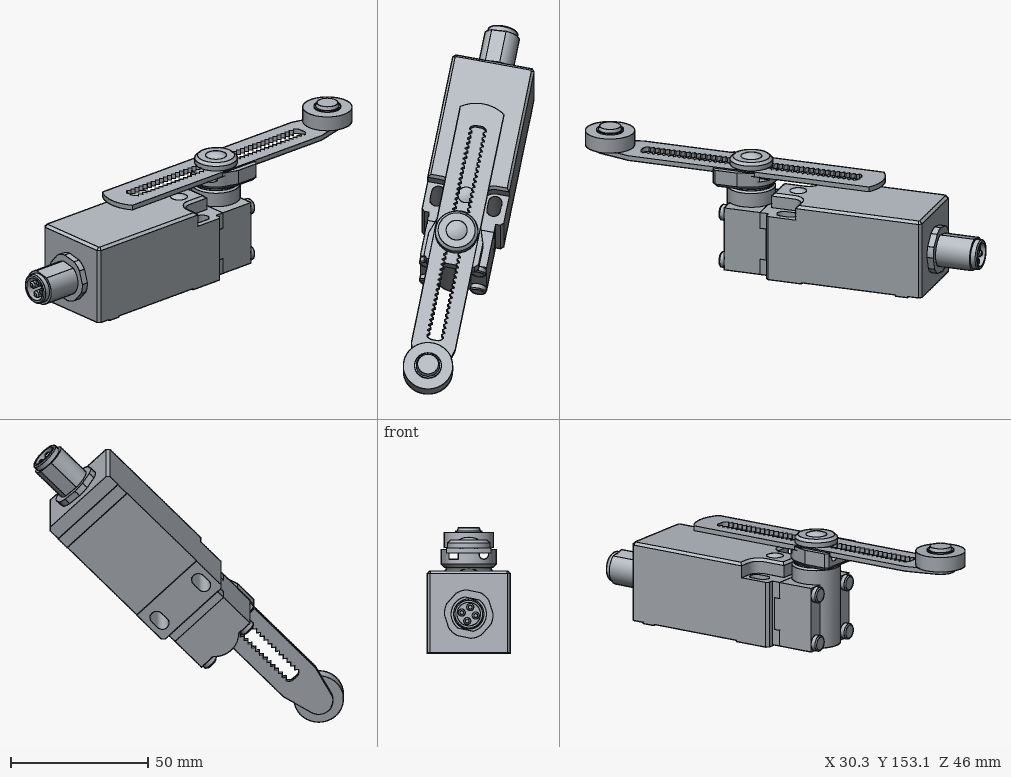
import cadquery as cq
import math


housing_width = 30.3
housing_front = -71.3
housing_back = -11.0
housing_top = 30.2
foot_height = 0.5
foot_spans = [(-25.0, housing_back), (-66.1, -61.4)]
edge_chamfer = 1.0

shelf_height = 24.6
shelf_front = -22.7
tab_width = 12.2
tab_back = -10.1
tab_corner_radius = 4.1
mount_slot_offset = 10.5
mount_slot_y = -17.8
mount_slot_length = 7.8
mount_slot_width = 4.9
lamp_y = -18.2
lamp_radius = 3.0
lamp_height = 0.8

head_width = 24.6
head_front = -7.8
tongue_bottom = 6.5
tongue_top = 18.5

head_back = 6.1
turret_radius = 8.9
turret_chamfer = 0.8
turret_top = 30.8
screw_radius = 2.9
screw_head_height = 2.1
screw_chamfer = 0.5

neck_radius = 8.3
clamp_bottom = 31.4
clamp_top = 38.0
clamp_half_width = 10.1
clamp_back = 11.6
clamp_front = -9.3
clamp_side_end = 1.8
clamp_nose_half_width = 8.7
clamp_nose_start = -2.3
clamp_chamfer = 1.2
groove_depth = 2.1
groove_width = 3.2
groove_offset = 5.5
nut_radius = 7.8
nut_height = 2.9
nut_chamfer = 1.0
nut_dome_radius = 3.8
nut_dome_height = 1.0
stud_radius = 2.0

arm_bottom = 36.6
arm_thickness = 1.8
arm_half_width = 8.1
arm_nose_y = -51.1
arm_side_front = -48.5
arm_taper_start = 44.7
arm_end_radius = 5.2
rack_half_length = 42.4
rack_half_width = 3.2
rack_corner_radius = 2.3
tooth_height = 1.15
teeth_each_way = 20
tooth_pitch = 40.0 / teeth_each_way

roller_y = 54.8
roller_radius = 9.0
roller_height = 5.5
roller_gap = 0.23
rivet_radius = 4.9
rivet_top_radius = 3.8
rivet_collar_height = 0.5
rivet_cone_radius = 4.3
total_height = 46.0

connector_z = 14.4
connector_turn = 78
flange_radius = 8.9
flange_across_flats = 17.0
flange_thickness = 2.5
barrel_radius = 6.5
barrel_across_flats = 11.6
barrel_end = -87.0
connector_end = -89.3
tip_radius = 5.5
tip_chamfer = 0.5
socket_radius = 4.3
socket_depth = 7.7
contact_count = 4
contact_radius = 1.3
contact_circle_radius = 2.6
contact_recess = 0.8
contact_chamfer = 0.6

arm_top = arm_bottom + arm_thickness


def block(x_min, x_max, y_min, y_max, z_min, z_max):
    size = (x_max - x_min, y_max - y_min, z_max - z_min)
    return cq.Workplane("XY").box(*size, centered=False).translate((x_min, y_min, z_min))


def disc(radius, y, z_min, z_max):
    return cq.Workplane("XY", origin=(0, y, z_min)).circle(radius).extrude(z_max - z_min)


def dome(base_radius, height, y, z):
    """Spherical cap standing on the level z."""
    sphere_radius = (base_radius**2 + height**2) / (2 * height)
    half_angle = math.asin(base_radius / sphere_radius) / 2
    middle_x = sphere_radius * math.sin(half_angle)
    middle_z = height - sphere_radius * (1 - math.cos(half_angle))
    cap = (
        cq.Workplane("XZ")
        .lineTo(base_radius, 0)
        .threePointArc((middle_x, middle_z), (0, height))
        .close()
        .revolve(360, (0, 0, 0), (0, 1, 0))
    )
    return cap.translate((0, y, z))


def tongue():
    """Block of the head that enters the joint strip of the housing."""
    half = head_width / 2
    return block(-half, half, tab_back, head_front, tongue_bottom, tongue_top)


def housing_base():
    half = housing_width / 2
    base = block(-half, half, housing_front, housing_back, foot_height, shelf_height)
    for y_min, y_max in foot_spans:
        base = base.union(block(-half, half, y_min, y_max, 0, foot_height))
    return base.edges("|Z and (<X or >X) and (<Y or >Y)").chamfer(edge_chamfer)


def housing_upper():
    """Raised part: full width in front, narrowing to the tab between the mounting slots."""
    half = housing_width / 2
    tab_half = tab_width / 2
    main = block(-half, half, housing_front, shelf_front, shelf_height, housing_top)
    main = main.edges("|Z and <Y").chamfer(edge_chamfer)
    tab = block(-tab_half, tab_half, shelf_front, tab_back, shelf_height, housing_top)
    upper = main.union(tab)
    inner_corners = cq.selectors.BoxSelector(
        (-tab_width, shelf_front - edge_chamfer, 0),
        (tab_width, shelf_front + edge_chamfer, housing_top),
    )
    upper = upper.edges("|Z").edges(inner_corners).fillet(tab_corner_radius)
    return upper.faces(">Z").edges().chamfer(edge_chamfer)


def make_housing():
    half = head_width / 2
    strip = block(-half, half, housing_back, head_front, foot_height, shelf_height)
    housing = housing_base().union(housing_upper()).union(strip.cut(tongue()))
    slots = (
        cq.Workplane("XY")
        .pushPoints([(-mount_slot_offset, mount_slot_y), (mount_slot_offset, mount_slot_y)])
        .slot2D(mount_slot_length, mount_slot_width, 90)
        .extrude(housing_top)
    )
    return housing.cut(slots).union(dome(lamp_radius, lamp_height, lamp_y, housing_top))


def make_head():
    half = head_width / 2
    turret = disc(turret_radius, 0, foot_height, turret_top).faces(">Z").chamfer(turret_chamfer)
    turret_front = block(-half, half, -turret_radius, head_front, foot_height, shelf_height)
    head = block(-half, half, head_front, head_back, foot_height, shelf_height)
    head = head.union(turret.cut(turret_front)).union(tongue())
    screw_x = half - screw_radius
    screw_points = [
        (x, z)
        for x in (-screw_x, screw_x)
        for z in (foot_height + screw_radius, shelf_height - screw_radius)
    ]
    screws = (
        cq.Workplane("XZ", origin=(0, head_back, 0))
        .pushPoints(screw_points)
        .circle(screw_radius)
        .extrude(-screw_head_height)
        .faces(">Y")
        .chamfer(screw_chamfer)
    )
    return head.union(screws)


def clamp_block():
    nose = clamp_nose_half_width
    block_body = (
        cq.Workplane("XY", origin=(0, 0, clamp_bottom))
        .moveTo(-clamp_half_width, clamp_back)
        .lineTo(-clamp_half_width, clamp_side_end)
        .lineTo(-nose, clamp_nose_start)
        .threePointArc((0, clamp_front), (nose, clamp_nose_start))
        .lineTo(clamp_half_width, clamp_side_end)
        .lineTo(clamp_half_width, clamp_back)
        .close()
        .extrude(clamp_top - clamp_bottom)
    )
    block_body = block_body.edges("|Z and >Y").chamfer(clamp_chamfer)
    return block_body.faces("<Z").chamfer(clamp_chamfer)


def clamp_grooves():
    """Channel for the arm, with a square and a round-bottomed groove in its floor."""
    channel = block(
        -arm_half_width, arm_half_width, clamp_front, clamp_back, arm_bottom, arm_top
    )
    groove_bottom = arm_bottom - groove_depth
    groove_half = groove_width / 2
    square_groove = block(
        -groove_offset - groove_half,
        -groove_offset + groove_half,
        clamp_front,
        clamp_back,
        groove_bottom,
        arm_bottom,
    )
    round_groove = (
        cq.Workplane("XZ", origin=(groove_offset, clamp_back, arm_bottom))
        .moveTo(-groove_half, 0)
        .threePointArc((0, -groove_depth), (groove_half, 0))
        .close()
        .extrude(clamp_back - clamp_front)
    )
    return channel.union(square_groove).union(round_groove)


def make_clamp():
    """Clamp with its neck below, and the stud and nut that hold the arm above."""
    nut_top = arm_top + nut_height
    clamp = clamp_block().cut(clamp_grooves())
    clamp = clamp.union(disc(neck_radius, 0, turret_top, clamp_bottom))
    clamp = clamp.union(disc(stud_radius, 0, clamp_bottom, nut_top))
    nut = disc(nut_radius, 0, arm_top, nut_top).faces(">Z").chamfer(nut_chamfer)
    return clamp.union(nut).union(dome(nut_dome_radius, nut_dome_height, 0, nut_top))


def arm_plate():
    """Plate with a shallow curved front end, tapering tangentially to a round roller end."""
    corner_y = arm_taper_start - roller_y
    corner_distance = math.hypot(arm_half_width, corner_y)
    tangent_angle = math.atan2(corner_y, arm_half_width) + math.acos(arm_end_radius / corner_distance)
    tangent_x = arm_end_radius * math.cos(tangent_angle)
    tangent_y = roller_y + arm_end_radius * math.sin(tangent_angle)
    return (
        cq.Workplane("XY", origin=(0, 0, arm_bottom))
        .moveTo(-arm_half_width, arm_side_front)
        .threePointArc((0, arm_nose_y), (arm_half_width, arm_side_front))
        .lineTo(arm_half_width, arm_taper_start)
        .lineTo(tangent_x, tangent_y)
        .threePointArc((0, roller_y + arm_end_radius), (-tangent_x, tangent_y))
        .lineTo(-arm_half_width, arm_taper_start)
        .close()
        .extrude(arm_thickness)
    )


def rack_slot():
    """Long slot whose sides carry facing rows of triangular teeth."""
    slot = block(
        -rack_half_width, rack_half_width, -rack_half_length, rack_half_length, arm_bottom, arm_top
    )
    slot = slot.edges("|Z").fillet(rack_corner_radius)
    half_pitch = tooth_pitch / 2
    teeth = cq.Workplane("XY", origin=(0, 0, arm_bottom))
    for side in (-1, 1):
        root_x = side * rack_half_width
        tip_x = side * (rack_half_width - tooth_height)
        for step in range(-teeth_each_way, teeth_each_way + 1):
            y = step * tooth_pitch
            teeth = teeth.polyline(
                [(root_x, y - half_pitch), (tip_x, y), (root_x, y + half_pitch)]
            ).close()
    return slot.cut(teeth.extrude(arm_thickness))


def make_arm():
    return arm_plate().cut(rack_slot())


def make_roller():
    """Roller with the rivet head that retains it."""
    roller_bottom = arm_top + roller_gap
    roller_top = roller_bottom + roller_height
    collar_top = roller_top + rivet_collar_height
    roller = disc(roller_radius, roller_y, roller_bottom, roller_top)
    spacer = disc(rivet_radius, roller_y, arm_top, roller_bottom)
    collar = disc(rivet_radius, roller_y, roller_top, collar_top)
    cone = (
        cq.Workplane("XY", origin=(0, roller_y, collar_top))
        .circle(rivet_cone_radius)
        .workplane(offset=total_height - collar_top)
        .circle(rivet_top_radius)
        .loft()
    )
    return roller.union(spacer).union(collar).union(cone)


def connector_disc(radius, y_start, y_end):
    return cq.Workplane("XZ", origin=(0, y_start, 0)).circle(radius).extrude(y_start - y_end)


def connector_flange():
    flange_end = housing_front - flange_thickness
    hexagon = (
        cq.Workplane("XZ", origin=(0, housing_front, 0))
        .polygon(6, flange_across_flats, circumscribed=True)
        .extrude(flange_thickness)
    )
    return connector_disc(flange_radius, housing_front, flange_end).intersect(hexagon)


def connector_barrel():
    """Barrel with two opposite flats."""
    half_flats = barrel_across_flats / 2
    flats = block(
        -half_flats, half_flats, barrel_end, housing_front, -barrel_radius, barrel_radius
    )
    return connector_disc(barrel_radius, housing_front, barrel_end).intersect(flats)


def make_connector():
    tip = connector_disc(tip_radius, barrel_end, connector_end).faces("<Y").chamfer(tip_chamfer)
    socket_floor = connector_end + socket_depth
    contacts = (
        cq.Workplane("XZ", origin=(0, socket_floor, 0))
        .polarArray(contact_circle_radius, 0, 360, contact_count)
        .circle(contact_radius)
        .extrude(socket_depth - contact_recess)
        .faces("<Y")
        .chamfer(contact_chamfer)
    )
    connector = connector_flange().union(connector_barrel()).union(tip)
    connector = connector.cut(connector_disc(socket_radius, socket_floor, connector_end))
    connector = connector.union(contacts)
    connector = connector.rotate((0, 0, 0), (0, 1, 0), -connector_turn)
    return connector.translate((0, 0, connector_z))


housing = make_housing()
head = make_head()
clamp = make_clamp()
arm = make_arm()
roller = make_roller()
connector = make_connector()

result = cq.Compound.makeCompound(
    [housing.val(), head.val(), clamp.val(), arm.val(), roller.val(), connector.val()]
)